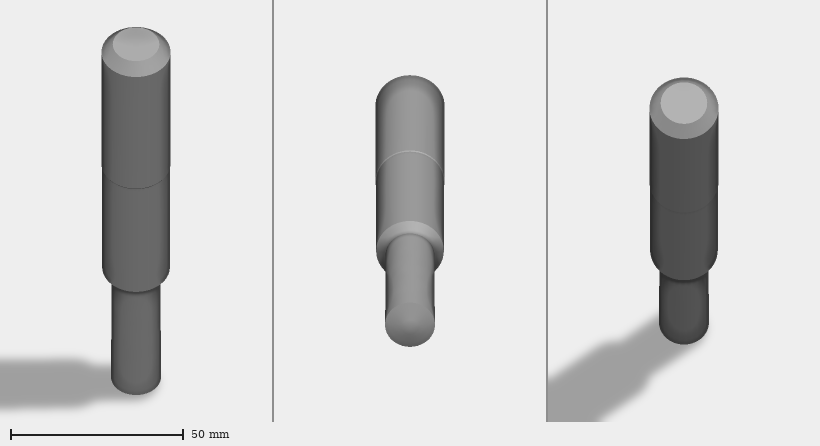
import cadquery as cq

total_length = 142.0

grip_diameter = 20.0
barrel_diameter = 19.6
crown_top_diameter = 13.5
crown_height = 3.3
grip_bottom = 91.9
grip_chamfer_height = 0.4
barrel_bottom = 48.3
neck_height = 0.4

shank_top_diameter = 14.2
shank_bottom_diameter = 14.5
shank_top = 45.2
tip_height = 2.3

grip_radius = grip_diameter / 2
barrel_radius = barrel_diameter / 2
crown_top_radius = crown_top_diameter / 2
shank_top_radius = shank_top_diameter / 2
shank_bottom_radius = shank_bottom_diameter / 2
neck_top = shank_top + neck_height
crown_bottom = total_length - crown_height


def revolve_profile(profile):
    """Turn a closed half-profile, drawn as radius and height, about the Z axis."""
    return profile.close().revolve(360, (0, 0, 0), (0, 1, 0))


def make_handle():
    """Handle with a conical crown, a grip, a slightly thinner barrel and a tapered shoulder."""
    profile = (
        cq.Workplane("XZ")
        .moveTo(0, shank_top)
        .lineTo(shank_top_radius, shank_top)
        .lineTo(shank_top_radius, neck_top)
        .lineTo(barrel_radius, barrel_bottom)
        .lineTo(barrel_radius, grip_bottom - grip_chamfer_height)
        .lineTo(grip_radius, grip_bottom)
        .lineTo(grip_radius, crown_bottom)
        .lineTo(crown_top_radius, total_length)
        .lineTo(0, total_length)
    )
    return revolve_profile(profile)


def make_shank():
    """Shank widening slightly toward its shallow conical point, butted against the neck."""
    profile = (
        cq.Workplane("XZ")
        .moveTo(0, 0)
        .lineTo(shank_bottom_radius, tip_height)
        .lineTo(shank_top_radius, shank_top)
        .lineTo(0, shank_top)
    )
    return revolve_profile(profile)


handle = make_handle()
shank = make_shank()

result = cq.Compound.makeCompound([handle.val(), shank.val()])